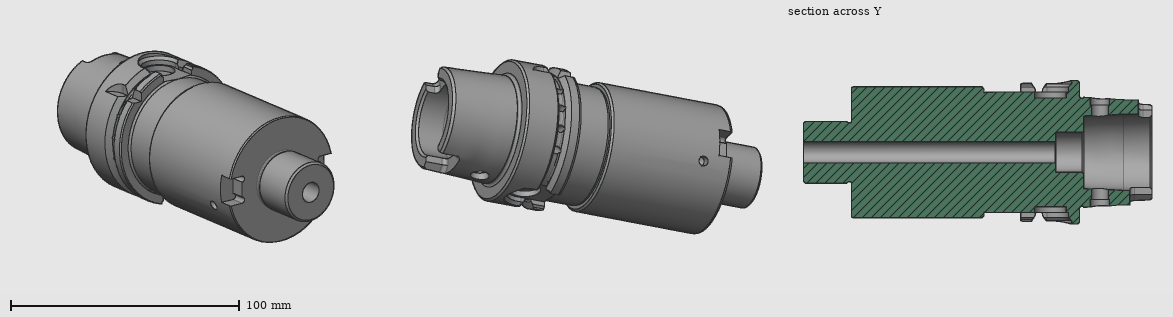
import cadquery as cq

total_length = 153.0
taper_end = 30.1
taper_relief_start = 30.5
taper_relief_end = 30.8
flange_start = 31.8
groove_start = 46.4
groove_floor_start = 48.2
groove_floor_end = 51.3
groove_end = 53.0
flange_end = 57.7
body_start = 73.7
body_end = 131.9
pilot_start = 134.0

nose_radius = 22.8
taper_radius = 24.2
taper_relief_radius = 23.7
taper_relief_rim_radius = 25.4
flange_radius = 31.5
groove_radius = 27.5
groove_shoulder_radius = 28.6
neck_radius = 26.5
body_radius = 28.8
undercut_radius = 13.0
pilot_radius = 13.6
nose_chamfer_length = 1.2
edge_break = 0.9
end_lead = 0.3
groove_fillet = 0.5
neck_fillet = 0.9
neck_relief_depth = 0.3
neck_relief_length = 0.9
undercut_fillet = 0.5
undercut_ramp = 0.8

bore_radius = 16.7
bore_mouth_radius = 17.7
bore_step_depth = 12.7
bore_floor_radius = 15.9
bore_depth = 30.0
socket_radius = 9.5
socket_thread_radius = 8.7
socket_chamfer = socket_radius - socket_thread_radius
socket_depth = 12.2
passage_radius = 4.6
passage_chamfer = 0.3

cross_hole_x = 23.0
cross_hole_radius = 3.7
cross_hole_counterbore_radius = 4.1
cross_hole_counterbore_height = 20.7

mouth_slot_half_width = 6.6
mouth_slot_flare_height = 18.5
mouth_slot_corner_radius = 2.0
top_mouth_slot_depth = 6.1
bottom_mouth_slot_depth = 9.8

drive_slot_x = 44.7
drive_slot_floor = 26.5
drive_slot_end_radius = 8.0
drive_slot_end_chamfer = 1.4
drive_slot_half_width = 7.8
drive_slot_side_chamfer = 0.9
drive_slot_wall_height = 2.1
drive_recess_radius = 6.9
drive_recess_depth = 2.6

notch_offset = 20.0
notch_cutter_radius = 8.0

balance_hole_radius = 1.7
balance_hole_depth = 7.6
balance_hole_first_angle = -35.0
balance_hole_pitch = 20.0
balance_hole_count = 4

driver_slot_start = 125.5
driver_slot_half_width = 6.3
driver_slot_floor = 21.7
driver_slot_relief_radius = 1.4
screw_hole_x = 118.4
screw_hole_radius = 2.1
screw_hole_angle = 20.0
screw_hole_depth = 4.6


def turned_body():
    """Revolve the outer outline about the X axis."""
    outline = (
        cq.Workplane("XY")
        .lineTo(0, nose_radius - edge_break)
        .lineTo(nose_chamfer_length, nose_radius)
        .lineTo(taper_end, taper_radius)
        .lineTo(taper_relief_start, taper_relief_radius)
        .lineTo(taper_relief_end, taper_relief_radius)
        .tangentArcPoint((flange_start, taper_relief_rim_radius), relative=False)
        .lineTo(flange_start, flange_radius - edge_break)
        .lineTo(flange_start + edge_break, flange_radius)
        .lineTo(groove_start, flange_radius)
        .lineTo(groove_floor_start, groove_shoulder_radius)
        .lineTo(groove_floor_start, groove_radius + groove_fillet)
        .tangentArcPoint((groove_floor_start + groove_fillet, groove_radius), relative=False)
        .lineTo(groove_floor_end - groove_fillet, groove_radius)
        .tangentArcPoint((groove_floor_end, groove_radius + groove_fillet), relative=False)
        .lineTo(groove_floor_end, groove_shoulder_radius)
        .lineTo(groove_end, flange_radius)
        .lineTo(flange_end - edge_break, flange_radius)
        .lineTo(flange_end, flange_radius - end_lead)
        .lineTo(flange_end, neck_radius + neck_fillet)
        .tangentArcPoint((flange_end + neck_fillet, neck_radius), relative=False)
        .lineTo(body_start - neck_relief_length, neck_radius)
        .lineTo(body_start, neck_radius - neck_relief_depth)
        .lineTo(body_start, body_radius - edge_break)
        .lineTo(body_start + edge_break, body_radius)
        .lineTo(body_end - edge_break, body_radius)
        .lineTo(body_end, body_radius - end_lead)
        .lineTo(body_end, undercut_radius + undercut_fillet)
        .tangentArcPoint((body_end + undercut_fillet, undercut_radius), relative=False)
        .lineTo(pilot_start - undercut_ramp, undercut_radius)
        .lineTo(pilot_start, pilot_radius)
        .lineTo(total_length - edge_break, pilot_radius)
        .lineTo(total_length, pilot_radius - edge_break)
        .lineTo(total_length, 0)
        .close()
    )
    return outline.revolve(360, (0, 0, 0), (1, 0, 0))


def bore():
    """Stepped bore of the hollow taper, continued as a passage through the pilot."""
    socket_floor = bore_depth + socket_depth
    outline = [
        (0, 0),
        (0, bore_mouth_radius),
        (bore_mouth_radius - bore_radius, bore_radius),
        (bore_step_depth, bore_radius),
        (bore_depth, bore_floor_radius),
        (bore_depth, socket_radius),
        (bore_depth + socket_chamfer, socket_thread_radius),
        (socket_floor, socket_thread_radius),
        (socket_floor, passage_radius + passage_chamfer),
        (socket_floor + passage_chamfer, passage_radius),
        (total_length, passage_radius),
        (total_length, 0),
    ]
    return cq.Workplane("XY").polyline(outline).close().revolve(360, (0, 0, 0), (1, 0, 0))


def half_turn(cutter):
    """The cutter turned half a revolution about the X axis."""
    return cutter.rotate((0, 0, 0), (1, 0, 0), 180)


def cross_hole():
    """Vertical through hole, widened near the outer surface at both ends."""
    axis = cq.Workplane("XY").center(cross_hole_x, 0)
    hole = axis.circle(cross_hole_radius).extrude(taper_radius, both=True)
    counterbore = axis.workplane(offset=cross_hole_counterbore_height).circle(cross_hole_counterbore_radius)
    counterbore = counterbore.extrude(taper_radius - cross_hole_counterbore_height)
    return hole.union(counterbore).union(half_turn(counterbore))


def mouth_slot(depth):
    """Upward slot with its outer edges flared at 45 degrees and a rounded inner end."""
    flare = taper_radius - mouth_slot_flare_height
    half_outline = [
        (mouth_slot_half_width, 0),
        (mouth_slot_half_width, mouth_slot_flare_height),
        (mouth_slot_half_width + flare, taper_radius),
    ]
    mirrored = [(-y, z) for y, z in reversed(half_outline)]
    slot = cq.Workplane("YZ").polyline(half_outline + mirrored).close().extrude(depth)
    return slot.faces(">X").edges("not #Z").fillet(mouth_slot_corner_radius)


def slot_half_section(half_width, chamfer):
    """Corner points of half a slot section: upright wall, 45 degree chamfer, upright wall."""
    chamfer_start = drive_slot_floor + drive_slot_wall_height
    return [
        (half_width, drive_slot_floor),
        (half_width, chamfer_start),
        (half_width + chamfer, chamfer_start + chamfer),
        (half_width + chamfer, flange_radius),
    ]


def drive_slot():
    """Round-ended slot through the rear of the flange, with a shallow round recess in its floor."""
    end_section = slot_half_section(drive_slot_end_radius, drive_slot_end_chamfer)
    rounded_end = (
        cq.Workplane("XZ")
        .polyline([(0, drive_slot_floor)] + end_section + [(0, flange_radius)])
        .close()
        .revolve(360, (0, 0, 0), (0, 1, 0))
        .translate((drive_slot_x, 0, 0))
    )
    side = slot_half_section(drive_slot_half_width, drive_slot_side_chamfer)
    channel = (
        cq.Workplane("YZ", origin=(drive_slot_x, 0, 0))
        .polyline(side + [(-y, z) for y, z in reversed(side)])
        .close()
        .extrude(flange_end + neck_fillet - drive_slot_x)
    )
    recess = (
        cq.Workplane("XY", origin=(drive_slot_x, 0, drive_slot_floor))
        .circle(drive_recess_radius)
        .extrude(-drive_recess_depth)
    )
    return rounded_end.union(channel).union(recess)


def orientation_notch():
    """Square corner notch whose closed end is the round of an upright end mill."""
    height = flange_radius - notch_offset
    plane = cq.Workplane("XY", origin=(drive_slot_x, -notch_offset, notch_offset))
    round_end = plane.center(0, -notch_cutter_radius).circle(notch_cutter_radius).extrude(height)
    run = flange_end - drive_slot_x
    straight = plane.center(run / 2, -notch_cutter_radius).rect(run, 2 * notch_cutter_radius).extrude(height)
    return round_end.union(straight)


def radial_hole(x, surface_radius, angle, hole_radius, depth):
    """Cone-bottomed hole drilled inward on the -Y side, turned upward by the angle in degrees."""
    floor = surface_radius - depth
    outline = [
        (0, floor - hole_radius / 2),
        (hole_radius, floor),
        (hole_radius, surface_radius + hole_radius),
        (0, surface_radius + hole_radius),
    ]
    upright = cq.Workplane("XZ").polyline(outline).close().revolve(360, (0, 0, 0), (0, 1, 0))
    return upright.rotate((0, 0, 0), (1, 0, 0), 90 - angle).translate((x, 0, 0))


def driver_slot():
    """Slot on the -Y side, open at the body end, with round relief grooves in its floor corners."""
    length = body_end - driver_slot_start
    start = cq.Workplane("YZ", origin=(driver_slot_start, 0, 0))
    slot = (
        start.center(-(driver_slot_floor + body_radius) / 2, 0)
        .rect(body_radius - driver_slot_floor, 2 * driver_slot_half_width)
        .extrude(length)
    )
    relief_z = driver_slot_half_width - driver_slot_relief_radius
    reliefs = (
        start.pushPoints([(-driver_slot_floor, relief_z), (-driver_slot_floor, -relief_z)])
        .circle(driver_slot_relief_radius)
        .extrude(length)
    )
    return slot.union(reliefs)


result = turned_body().cut(bore()).cut(cross_hole())

result = result.cut(mouth_slot(top_mouth_slot_depth))
result = result.cut(half_turn(mouth_slot(bottom_mouth_slot_depth)))

result = result.cut(drive_slot()).cut(half_turn(drive_slot()))
result = result.cut(orientation_notch())

groove_middle = (groove_floor_start + groove_floor_end) / 2
for index in range(balance_hole_count):
    hole_angle = balance_hole_first_angle + index * balance_hole_pitch
    result = result.cut(
        radial_hole(groove_middle, groove_radius, hole_angle, balance_hole_radius, balance_hole_depth)
    )

screw_hole = radial_hole(screw_hole_x, body_radius, -screw_hole_angle, screw_hole_radius, screw_hole_depth)
for cutter in (driver_slot(), screw_hole):
    result = result.cut(cutter).cut(half_turn(cutter))